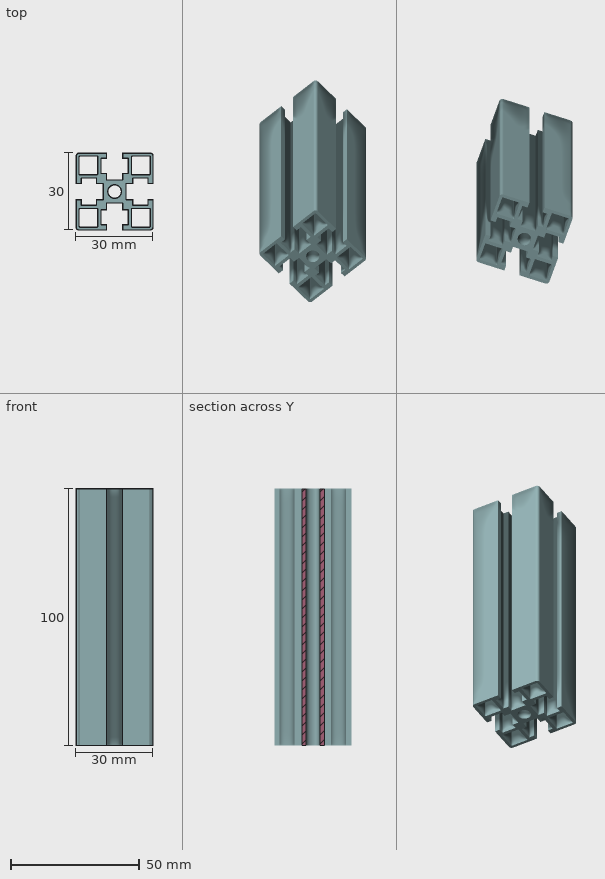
import cadquery as cq

LENGTH = 100
SIDE = 30
CORNER_RADIUS = 1.2

SLOT_OPENING = 6.2
SLOT_WIDTH = 10.5
LIP_THICKNESS = 2.1
SLOT_SHOULDER_DEPTH = 7.9
SLOT_DEPTH = 10.5

WALL = 1.2
CELL_SIDE = 7.2
CELL_RADIUS = 0.25

BORE_DIAMETER = 5.2


def make_bar():
    """Square bar with rounded long edges."""
    bar = cq.Workplane("XY").rect(SIDE, SIDE).extrude(LENGTH)
    return bar.edges("|Z").fillet(CORNER_RADIUS)


def make_slot():
    """Cutter for the T-slot in the +Y side: a deep narrow channel plus a wide undercut."""
    channel = (
        cq.Workplane("XY")
        .center(0, (SIDE - SLOT_DEPTH) / 2)
        .rect(SLOT_OPENING, SLOT_DEPTH)
        .extrude(LENGTH)
    )
    undercut_height = SLOT_SHOULDER_DEPTH - LIP_THICKNESS
    undercut_center = SIDE / 2 - (LIP_THICKNESS + SLOT_SHOULDER_DEPTH) / 2
    undercut = (
        cq.Workplane("XY")
        .center(0, undercut_center)
        .rect(SLOT_WIDTH, undercut_height)
        .extrude(LENGTH)
    )
    return channel.union(undercut)


def make_cells():
    """Cutters for the four corner cells, with small rounded corners."""
    spacing = SIDE - 2 * WALL - CELL_SIDE
    return (
        cq.Workplane("XY")
        .rarray(spacing, spacing, 2, 2)
        .rect(CELL_SIDE, CELL_SIDE)
        .extrude(LENGTH)
        .edges("|Z")
        .fillet(CELL_RADIUS)
    )


def make_bore():
    """Cutter for the round hole along the axis."""
    return cq.Workplane("XY").circle(BORE_DIAMETER / 2).extrude(LENGTH)


result = make_bar().cut(make_cells()).cut(make_bore())

slot = make_slot()
for angle in range(0, 360, 90):
    result = result.cut(slot.rotate((0, 0, 0), (0, 0, 1), angle))